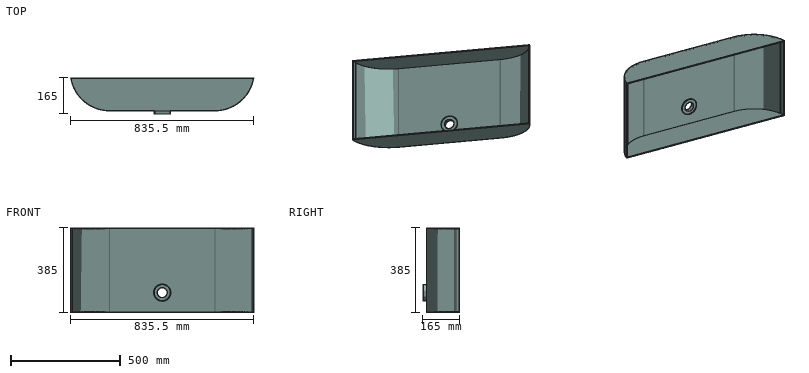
import cadquery as cq
import math

LENGTH = 835.5
HEIGHT = 385.0
SHELL_DEPTH = 149.5
FLAT_LENGTH = 480.0
WALL = 5.0
RECESS_DEPTH = 20.0
RECESS_LENGTH = 820.0

OVERALL_DEPTH = 165.0
RING_DIAMETER = 75.0
BORE_DIAMETER = 44.0
RING_CLEARANCE = 1.0
RING_HEIGHT = 90.0

FLAT_END = FLAT_LENGTH / 2
END_RUN = LENGTH / 2 - FLAT_END
END_RADIUS = (END_RUN**2 + SHELL_DEPTH**2) / (2 * SHELL_DEPTH)
ARC_CENTER_Y = END_RADIUS - SHELL_DEPTH


def rounded_prism(inset, height):
    """Prism of the plan outline, with its front and rounded ends moved inward by the inset."""
    radius = END_RADIUS - inset
    front = ARC_CENTER_Y - radius
    tip_angle = math.asin(ARC_CENTER_Y / radius)
    mid_angle = (tip_angle + math.pi / 2) / 2
    tip_x = FLAT_END + radius * math.cos(tip_angle)
    mid_x = FLAT_END + radius * math.cos(mid_angle)
    mid_y = ARC_CENTER_Y - radius * math.sin(mid_angle)
    return (
        cq.Workplane("XY")
        .moveTo(-FLAT_END, front)
        .lineTo(FLAT_END, front)
        .threePointArc((mid_x, mid_y), (tip_x, 0))
        .lineTo(-tip_x, 0)
        .threePointArc((-mid_x, mid_y), (-FLAT_END, front))
        .close()
        .extrude(height)
    )


def ring_axis_plane(y):
    """Workplane centred on the ring axis at the given Y, with its normal toward -Y."""
    return cq.Workplane("XZ", origin=(0, y, RING_HEIGHT))


def make_shell():
    inner_height = HEIGHT - 2 * WALL
    cavity = rounded_prism(WALL, inner_height).translate((0, 0, WALL))
    back_recess = cq.Workplane("XY").box(RECESS_LENGTH, 2 * RECESS_DEPTH, inner_height)
    back_recess = back_recess.translate((0, 0, HEIGHT / 2))
    ring_hole = ring_axis_plane(0).circle(RING_DIAMETER / 2 + RING_CLEARANCE).extrude(OVERALL_DEPTH)
    return rounded_prism(0, HEIGHT).cut(cavity).cut(back_recess).cut(ring_hole)


def make_ring():
    """Ring with its inner face flush with the inside of the front wall."""
    inner_face = WALL - SHELL_DEPTH
    return (
        ring_axis_plane(inner_face)
        .circle(RING_DIAMETER / 2)
        .circle(BORE_DIAMETER / 2)
        .extrude(OVERALL_DEPTH + inner_face)
    )


shell = make_shell()
ring = make_ring()
result = cq.Compound.makeCompound([shell.solids().val(), ring.val()])